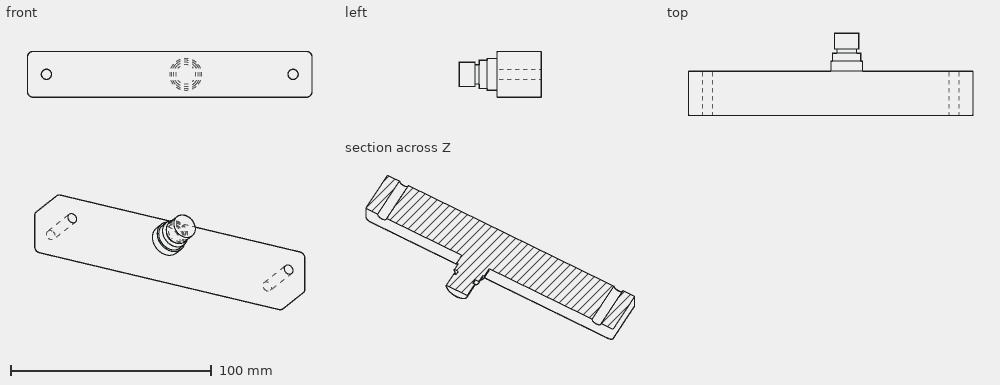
import cadquery as cq

length = 142.0
total_depth = 41.0
height = 23.0
corner_radius = 3.0
edge_radius = 0.5

hole_diameter = 5.0
hole_spacing = 123.0

fitting_offset = 8.0
fitting_steps = [
    (15.9, 5.0),
    (14.2, 4.0),
    (9.8, 2.0),
    (12.2, 8.0),
]

fitting_length = sum(step_length for _, step_length in fitting_steps)
block_depth = total_depth - fitting_length


def make_block():
    """Bar with its front at y = 0, rounded corners and softened face edges."""
    block = cq.Workplane("XY").box(length, block_depth, height, centered=(True, False, True))
    block = block.edges("|Y").fillet(corner_radius)
    return block.faces("<Y or >Y").edges().fillet(edge_radius)


def drill_holes(block):
    """Two mounting holes running through the full depth of the bar."""
    holes = (
        cq.Workplane("XZ")
        .pushPoints([(-hole_spacing / 2, 0), (hole_spacing / 2, 0)])
        .circle(hole_diameter / 2)
        .extrude(-block_depth)
    )
    return block.cut(holes)


def add_fitting(block):
    """Stack the coaxial steps of the fitting outward from the back face."""
    step_start = block_depth
    for diameter, step_length in fitting_steps:
        step = (
            cq.Workplane("XZ", origin=(fitting_offset, step_start, 0))
            .circle(diameter / 2)
            .extrude(-step_length)
        )
        block = block.union(step)
        step_start += step_length
    return block


result = add_fitting(drill_holes(make_block()))